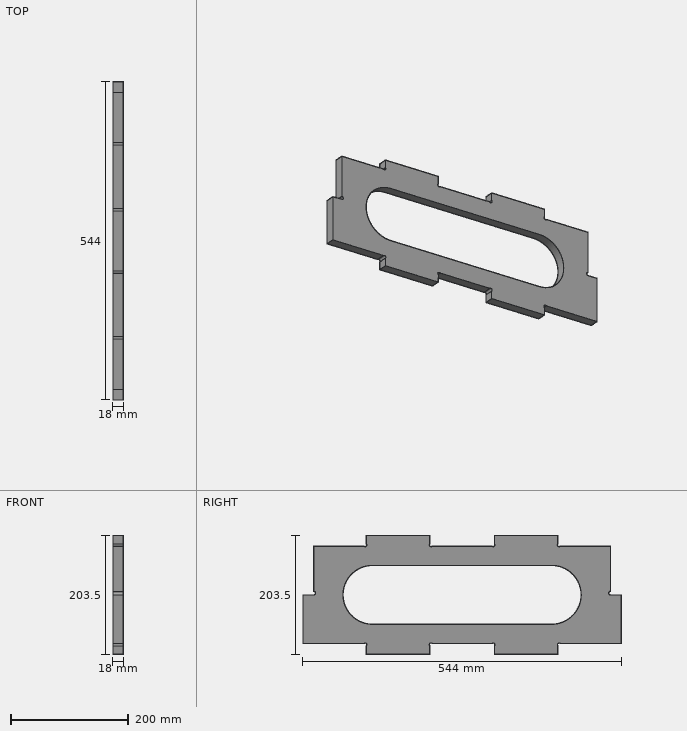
import cadquery as cq
import math

THICKNESS = 18.0
LENGTH = 544.0
HEIGHT = 203.5
TAB_DEPTH = 18.5
TAB_WIDTH = 109.0
TAB_SPACING = 218.5
STEP_Z = 0.0
SLOT_LENGTH = 406.5
SLOT_HEIGHT = 100.0
TAB_RELIEF_RADIUS = 2.5
STEP_RELIEF_RADIUS = 3.0

BODY_LENGTH = LENGTH - 2 * TAB_DEPTH
BODY_HEIGHT = HEIGHT - 2 * TAB_DEPTH
BODY_TOP = BODY_HEIGHT / 2
TAB_CENTRES = (-TAB_SPACING / 2, TAB_SPACING / 2)
RELIEF_OFFSET = TAB_RELIEF_RADIUS / math.sqrt(2)


def plate(length, height, y=0.0, z=0.0):
    """Rectangular plate of full thickness centred at (y, z)."""
    return cq.Workplane("XY").box(THICKNESS, length, height).translate((0, y, z))


def cutters(points, radius):
    """Round through-cutters along X at the given (y, z) points."""
    return (
        cq.Workplane("YZ")
        .pushPoints(points)
        .circle(radius)
        .extrude(THICKNESS, both=True)
    )


def tab_relief_points():
    """Centres of the relief circles at the inside corners beside every tab."""
    edge_z = BODY_TOP + RELIEF_OFFSET
    points = []
    for tab_y in TAB_CENTRES:
        for side in (-1, 1):
            y = tab_y + side * (TAB_WIDTH / 2 + RELIEF_OFFSET)
            points += [(y, -edge_z), (y, edge_z)]
    return points


def step_relief_points():
    """Centres on the body ends, so that each circle is tangent to the lug top."""
    z = STEP_Z + STEP_RELIEF_RADIUS
    return [(-BODY_LENGTH / 2, z), (BODY_LENGTH / 2, z)]


lug_height = STEP_Z + BODY_TOP
body = plate(BODY_LENGTH, BODY_HEIGHT)
body = body.union(plate(LENGTH, lug_height, z=STEP_Z - lug_height / 2))
for tab_centre in TAB_CENTRES:
    body = body.union(plate(TAB_WIDTH, HEIGHT, y=tab_centre))

window = cq.Workplane("YZ").slot2D(SLOT_LENGTH, SLOT_HEIGHT).extrude(THICKNESS, both=True)

result = (
    body.cut(window)
    .cut(cutters(tab_relief_points(), TAB_RELIEF_RADIUS))
    .cut(cutters(step_relief_points(), STEP_RELIEF_RADIUS))
)